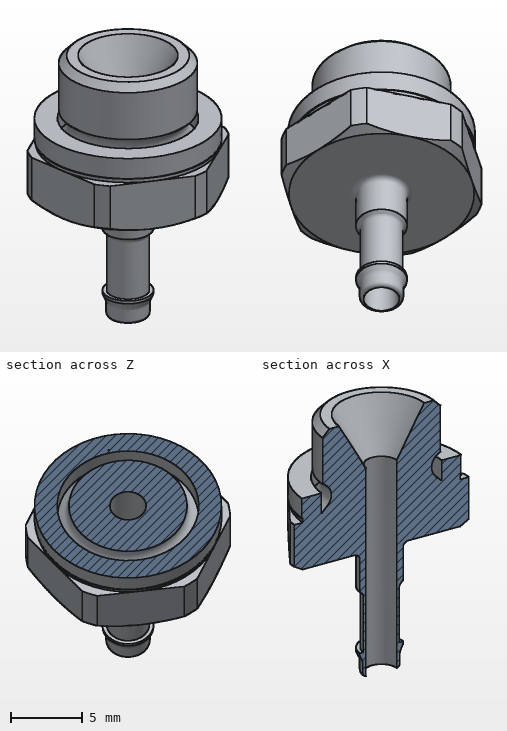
import cadquery as cq
import math

total_height = 20.2
hex_bottom = 9.72
hex_top = 13.43
collar_top = 13.74
washer_top = 15.33
thread_bottom = 16.0

hex_across_flats = 12.99
hex_corner_diameter = 14.38
hex_chamfer_angle = 30.0

collar_diameter = 13.0
washer_outer_diameter = 13.15
washer_inner_diameter = 9.9
thread_diameter = 9.74
thread_chamfer = 0.57
neck_radius = 8.3 / 2
undercut_lip_radius = 4.6
undercut_radius = 1.05

root_radius = 3.6 / 2
root_fillet = 0.42
root_end = 6.75
stem_radius = 3.0 / 2
step_fillet = 0.25
barb_radius = 3.6 / 2
barb_top = 1.95
barb_land = 0.22
barb_taper_end = 1.2
barb_fillet = 0.36
tip_radius = 3.1 / 2
tip_fillet = 0.3

bore_diameter = 2.5
mouth_diameter = 7.0
mouth_angle = 60.0


def ring(outer_diameter, bottom, top):
    return cq.Workplane("XY").workplane(offset=bottom).circle(outer_diameter / 2).extrude(top - bottom)


def revolve_profile(profile):
    """Turn a closed (radius, height) outline around the Z axis."""
    return profile.close().revolve(360, (0, 0, 0), (0, 1, 0))


def round_edges_at(solid, height, radius, size):
    """Fillet the circular edge lying at the given height and radius."""
    tolerance = 0.002
    low = (-radius - tolerance, -radius - tolerance, height - tolerance)
    high = (radius + tolerance, radius + tolerance, height + tolerance)
    return solid.edges(cq.selectors.BoxSelector(low, high, boundingbox=True)).fillet(size)


def make_hexagon():
    corner_to_corner = hex_across_flats / math.cos(math.radians(30))
    prism = (
        cq.Workplane("XY")
        .workplane(offset=hex_bottom)
        .polygon(6, corner_to_corner)
        .extrude(hex_top - hex_bottom)
        .rotate((0, 0, 0), (0, 0, 1), 30)
    )
    flat_radius = hex_across_flats / 2
    corner_radius = hex_corner_diameter / 2
    chamfer_height = (corner_radius - flat_radius) * math.tan(math.radians(hex_chamfer_angle))
    envelope = revolve_profile(
        cq.Workplane("XZ")
        .moveTo(0, hex_bottom)
        .lineTo(flat_radius, hex_bottom)
        .lineTo(corner_radius, hex_bottom + chamfer_height)
        .lineTo(corner_radius, hex_top)
        .lineTo(0, hex_top)
    )
    return prism.intersect(envelope)


def make_threaded_end():
    thread_radius = thread_diameter / 2
    washer_bore_radius = washer_inner_diameter / 2
    diagonal = undercut_radius * math.sqrt(0.5)
    arc_center_radius = neck_radius + undercut_radius
    tangent_radius = arc_center_radius - diagonal
    tangent_height = collar_top + washer_bore_radius - tangent_radius
    neck_height = tangent_height + diagonal
    lip_height = neck_height + math.sqrt(
        undercut_radius**2 - (arc_center_radius - undercut_lip_radius) ** 2
    )
    return revolve_profile(
        cq.Workplane("XZ")
        .moveTo(0, hex_top)
        .lineTo(washer_bore_radius, hex_top)
        .lineTo(washer_bore_radius, collar_top)
        .lineTo(tangent_radius, tangent_height)
        .threePointArc((neck_radius, neck_height), (undercut_lip_radius, lip_height))
        .lineTo(thread_radius, thread_bottom)
        .lineTo(thread_radius, total_height - thread_chamfer)
        .lineTo(thread_radius - thread_chamfer, total_height)
        .lineTo(0, total_height)
    )


def make_washer():
    washer = ring(washer_outer_diameter, collar_top, washer_top)
    return washer.cut(ring(washer_inner_diameter, collar_top, washer_top))


def make_stem():
    step_end = root_end - (root_radius - stem_radius)
    stem = revolve_profile(
        cq.Workplane("XZ")
        .lineTo(tip_radius, 0)
        .lineTo(tip_radius, barb_taper_end)
        .lineTo(barb_radius, barb_top - barb_land)
        .lineTo(barb_radius, barb_top)
        .lineTo(stem_radius, barb_top)
        .lineTo(stem_radius, step_end)
        .lineTo(root_radius, root_end)
        .lineTo(root_radius, hex_bottom)
        .lineTo(0, hex_bottom)
    )
    stem = round_edges_at(stem, 0, tip_radius, tip_fillet)
    stem = round_edges_at(stem, barb_taper_end, tip_radius, barb_fillet)
    return round_edges_at(stem, step_end, stem_radius, step_fillet)


def make_bore():
    bore_radius = bore_diameter / 2
    mouth_radius = mouth_diameter / 2
    mouth_depth = (mouth_radius - bore_radius) / math.tan(math.radians(mouth_angle / 2))
    return revolve_profile(
        cq.Workplane("XZ")
        .lineTo(bore_radius, 0)
        .lineTo(bore_radius, total_height - mouth_depth)
        .lineTo(mouth_radius, total_height)
        .lineTo(0, total_height)
    )


body = make_hexagon().union(make_stem())
body = round_edges_at(body, hex_bottom, root_radius, root_fillet)
body = body.union(ring(collar_diameter, hex_top, collar_top))
body = body.union(make_threaded_end()).union(make_washer())
result = body.cut(make_bore())